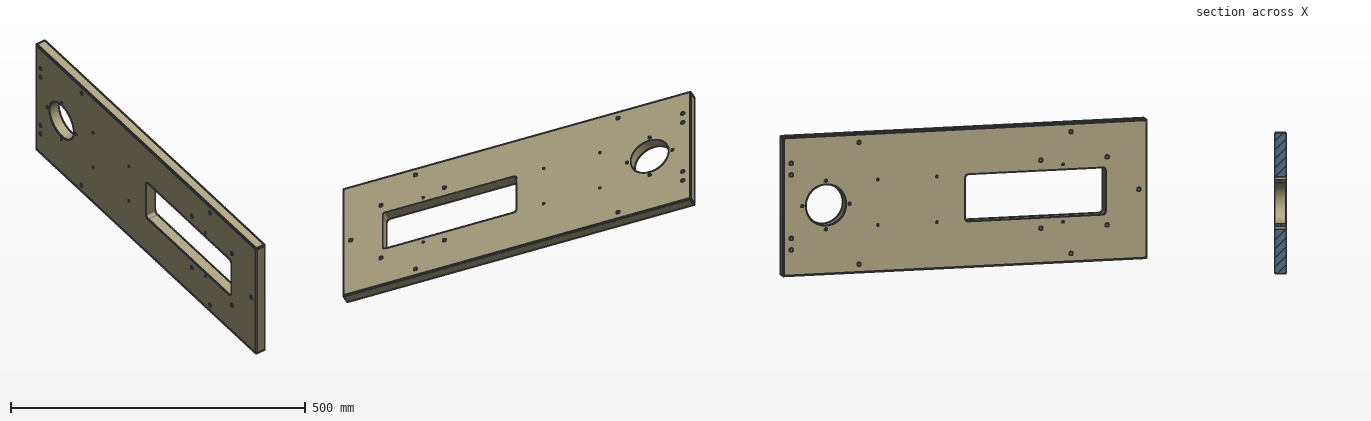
import cadquery as cq

length = 644.0
thickness = 20.0
height = 240.0
edge_chamfer = 2.0

window_length = 248.0
window_height = 80.5
window_x = 124.0
window_corner_radius = 6.0

port_diameter = 70.0
port_x = -246.0
port_screw_diameter = 4.5
port_screw_circle_radius = 42.0
port_screw_count = 4

opening_chamfer = 0.8

mounting_hole_diameter = 6.5
rim_hole_x = 187.5
rim_hole_z = 105.0
end_hole_x = 307.0
end_hole_inner_z = 55.0
end_hole_outer_z = 75.0

window_hole_center_x = 192.5
window_hole_half_pitch = 58.5

screw_hole_diameter = 3.0
window_screw_x = 173.0
window_screw_z = 49.5
middle_screw_left_x = -154.0
middle_screw_right_x = -49.5
middle_screw_z = 39.0


def mirrored_pairs(x_positions, z_offset):
    """Points at each X, above and below the horizontal centreline."""
    return [(x, side * z_offset) for x in x_positions for side in (1, -1)]


def back_face_sketch():
    """Sketch plane on the back (+Y) face; local axes are +X and +Z, extrusion runs to the front."""
    return cq.Workplane("XZ", origin=(0, thickness / 2, 0))


def make_plate():
    """Flat plate with every outer edge chamfered."""
    return cq.Workplane("XY").box(length, thickness, height).edges().chamfer(edge_chamfer)


def make_window():
    """Through cutter for the window, with rounded corners."""
    return (
        back_face_sketch()
        .center(window_x, 0)
        .rect(window_length, window_height)
        .extrude(thickness)
        .edges("|Y")
        .fillet(window_corner_radius)
    )


def make_holes(points, diameter):
    """Through cutters for equal round holes at the given (X, Z) points."""
    return back_face_sketch().pushPoints(points).circle(diameter / 2).extrude(thickness)


def make_port_screw_holes():
    """Through cutters for the screw holes spaced evenly around the port."""
    return (
        back_face_sketch()
        .center(port_x, 0)
        .polarArray(port_screw_circle_radius, 0, 360, port_screw_count)
        .circle(port_screw_diameter / 2)
        .extrude(thickness)
    )


def chamfer_front_openings(plate):
    """Chamfer every opening that breaks the front (-Y) face."""
    rims = plate.faces("<Y").val().innerWires()
    rim_edges = [edge for rim in rims for edge in rim.Edges()]
    return plate.newObject(rim_edges).chamfer(opening_chamfer)


window_hole_x = (
    window_hole_center_x - window_hole_half_pitch,
    window_hole_center_x + window_hole_half_pitch,
)
mounting_points = (
    mirrored_pairs((-rim_hole_x, rim_hole_x), rim_hole_z)
    + mirrored_pairs((-end_hole_x,), end_hole_inner_z)
    + mirrored_pairs((-end_hole_x,), end_hole_outer_z)
    + mirrored_pairs(window_hole_x, window_hole_half_pitch)
    + [(end_hole_x, 0)]
)
screw_points = (
    mirrored_pairs((middle_screw_left_x, middle_screw_right_x), middle_screw_z)
    + mirrored_pairs((window_screw_x,), window_screw_z)
)

open_plate = make_plate().cut(make_window()).cut(make_holes([(port_x, 0)], port_diameter))
result = (
    chamfer_front_openings(open_plate)
    .cut(make_holes(mounting_points, mounting_hole_diameter))
    .cut(make_holes(screw_points, screw_hole_diameter))
    .cut(make_port_screw_holes())
)